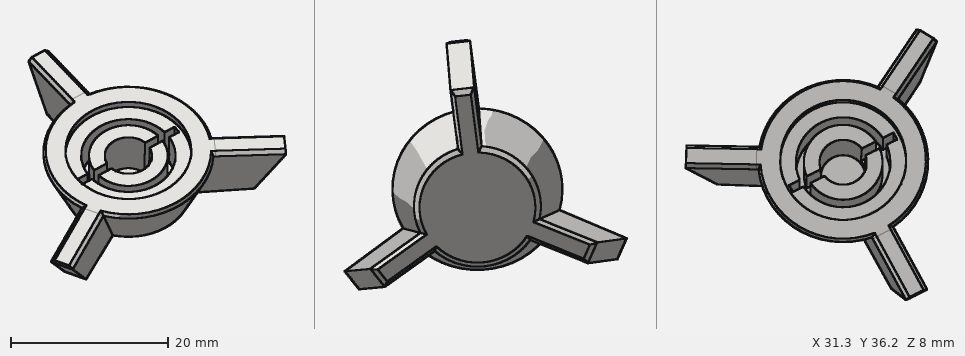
import cadquery as cq

height = 8.0
edge_chamfer = 0.5

hub_base_radius = 7.88
hub_top_radius = 11.02

blade_count = 3
blade_width = 3.05
blade_tip_radius = 20.0
blade_base_radius = 15.6
blade_tip_drop = 0.5
tip_face_height = 0.55

recess_diameter = 16.0
recess_depth = 1.0
groove_outer_diameter = 12.0
groove_inner_diameter = 10.0
slot_width = 1.0
slot_length = 15.0
groove_floor = 2.0

bore_floor_diameter = 5.67
bore_mouth_diameter = 6.0
bore_floor = 1.0

recess_floor = height - recess_depth


def make_hub():
    """Solid cone with chamfered rims."""
    wall_slope = (hub_top_radius - hub_base_radius) / height
    chamfer_run = wall_slope * edge_chamfer
    profile = [
        (0, 0),
        (hub_base_radius - edge_chamfer, 0),
        (hub_base_radius + chamfer_run, edge_chamfer),
        (hub_top_radius - chamfer_run, height - edge_chamfer),
        (hub_top_radius - edge_chamfer, height),
        (0, height),
    ]
    return cq.Workplane("XZ").polyline(profile).close().revolve(360, (0, 0), (0, 1))


def make_blade():
    """Blade pointing to -X, with a slanted tip and chamfered long edges."""
    tip_top = height - blade_tip_drop
    side = [
        (0, 0),
        (-blade_base_radius, 0),
        (-blade_tip_radius, tip_top - tip_face_height),
        (-blade_tip_radius, tip_top),
        (-hub_top_radius, height),
        (0, height),
    ]
    blade = cq.Workplane("XZ").polyline(side).close().extrude(blade_width / 2, both=True)
    blade = blade.faces("<Z").edges("|X or <X").chamfer(edge_chamfer)

    sloping_top = cq.selectors.BoxSelector(
        (-blade_tip_radius + edge_chamfer, -blade_width, tip_top),
        (-hub_top_radius - edge_chamfer, blade_width, height),
    )
    return blade.edges(sloping_top).edges("not |Y").chamfer(edge_chamfer)


def make_ring_and_slot_cut():
    """Ring groove crossed by a straight slot along Y."""
    depth = recess_floor - groove_floor
    floor = cq.Workplane("XY").workplane(offset=groove_floor)
    ring = floor.circle(groove_outer_diameter / 2).circle(groove_inner_diameter / 2).extrude(depth)
    slot = floor.rect(slot_width, slot_length).extrude(depth)
    return ring.union(slot)


def make_bore_cut():
    """Blind bore that widens toward the recess floor."""
    profile = [
        (0, bore_floor),
        (bore_floor_diameter / 2, bore_floor),
        (bore_mouth_diameter / 2, recess_floor),
        (0, recess_floor),
    ]
    return cq.Workplane("XZ").polyline(profile).close().revolve(360, (0, 0), (0, 1))


result = make_hub()
blade = make_blade()
for index in range(blade_count):
    angle = index * 360 / blade_count
    result = result.union(blade.rotate((0, 0, 0), (0, 0, 1), angle))

recess = cq.Workplane("XY").workplane(offset=recess_floor).circle(recess_diameter / 2).extrude(recess_depth)
result = result.cut(recess).cut(make_ring_and_slot_cut()).cut(make_bore_cut())